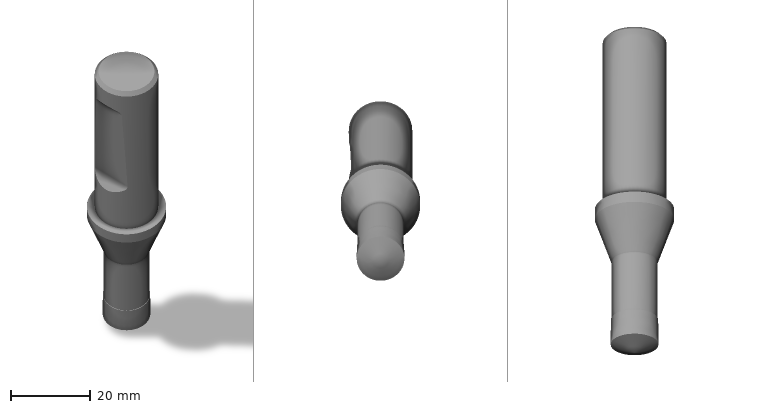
import cadquery as cq
import math

TOTAL_LENGTH = 88.5
POINT_HEIGHT = 2.3
TIP_TOP = 9.2
NECK_TOP = 25.5
COLLAR_HEIGHT = 2.9
COLLAR_TOP = 40.45

TIP_DIAMETER = 12.0
TIP_BACK_DIAMETER = 11.95
NECK_DIAMETER = 11.7
COLLAR_DIAMETER = 20.0
SHANK_DIAMETER = 16.0
SHANK_CHAMFER = 1.0

FLAT_BOTTOM = 52.5
FLAT_TOP = 82.6
FLAT_DEPTH = 2.1
FLAT_TILT = 2.0
FLAT_CORNER_RADIUS = 1.95
CUT_OVERRUN = 0.9


def make_tip():
    """Drill tip: a conical point on a body with slight back taper."""
    cutting_radius = TIP_DIAMETER / 2
    back_radius = TIP_BACK_DIAMETER / 2
    profile = [(0, 0), (cutting_radius, POINT_HEIGHT), (back_radius, TIP_TOP), (0, TIP_TOP)]
    return cq.Workplane("XZ").polyline(profile).close().revolve(360, (0, 0), (0, 1))


def make_flat_cutter():
    """Prism with a tilted floor, 45 degree end walls and rounded floor corners."""
    surface = -SHANK_DIAMETER / 2
    outside = surface - CUT_OVERRUN
    slope = math.tan(math.radians(FLAT_TILT))

    lower_corner = FLAT_BOTTOM + FLAT_DEPTH
    floor_length = (FLAT_TOP - lower_corner - FLAT_DEPTH) / (1 - slope)
    upper_corner = lower_corner + floor_length
    upper_depth = FLAT_DEPTH - floor_length * slope

    profile = [
        (outside, FLAT_BOTTOM - CUT_OVERRUN),
        (surface + FLAT_DEPTH, lower_corner),
        (surface + upper_depth, upper_corner),
        (outside, FLAT_TOP + CUT_OVERRUN),
    ]
    cutter = cq.Workplane("YZ").polyline(profile).close().extrude(SHANK_DIAMETER / 2, both=True)
    floor_corners = cutter.edges("|X").edges(cq.selectors.BoxSelector(
        (-SHANK_DIAMETER, surface, FLAT_BOTTOM),
        (SHANK_DIAMETER, 0, FLAT_TOP),
    ))
    return floor_corners.fillet(FLAT_CORNER_RADIUS)


def make_holder():
    """Turned holder: neck, tapered shoulder, collar and shank with a clamping flat."""
    neck_radius = NECK_DIAMETER / 2
    collar_radius = COLLAR_DIAMETER / 2
    shank_radius = SHANK_DIAMETER / 2
    profile = [
        (0, TIP_TOP),
        (neck_radius, TIP_TOP),
        (neck_radius, NECK_TOP),
        (collar_radius, COLLAR_TOP - COLLAR_HEIGHT),
        (collar_radius, COLLAR_TOP),
        (shank_radius, COLLAR_TOP),
        (shank_radius, TOTAL_LENGTH - SHANK_CHAMFER),
        (shank_radius - SHANK_CHAMFER, TOTAL_LENGTH),
        (0, TOTAL_LENGTH),
    ]
    body = cq.Workplane("XZ").polyline(profile).close().revolve(360, (0, 0), (0, 1))
    return body.cut(make_flat_cutter())


tip = make_tip()
holder = make_holder()
result = cq.Compound.makeCompound([tip.val(), holder.val()])